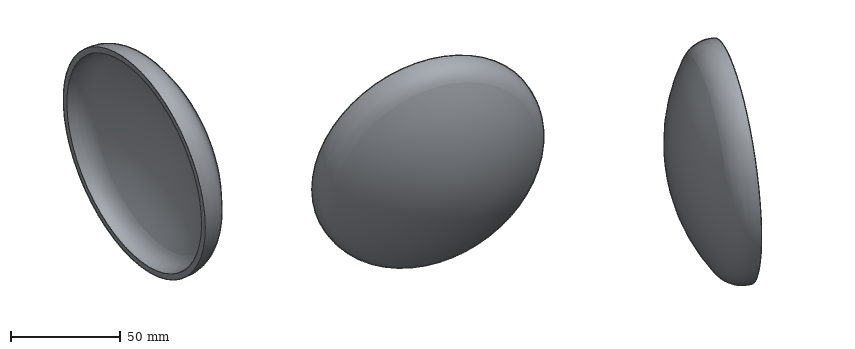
import cadquery as cq
import math

outer_radius = 57.2
height = 30.0
wall = 3.0
rim_length = 2.1
knuckle_radius = 14.1

dish_height = height - rim_length
knuckle_center_x = outer_radius - knuckle_radius
crown_radius = (knuckle_center_x**2 + dish_height**2 - knuckle_radius**2) / (
    2 * (dish_height - knuckle_radius)
)
crown_center_y = height - crown_radius

tangent_angle = math.atan2(knuckle_center_x, rim_length - crown_center_y)


def crown_point(offset, angle):
    """Point on the crown, moved inward by offset, at an angle from the axis."""
    radius = crown_radius - offset
    return (radius * math.sin(angle), crown_center_y + radius * math.cos(angle))


def knuckle_middle(offset):
    """Point halfway along the knuckle, moved inward by offset."""
    radius = knuckle_radius - offset
    angle = (tangent_angle + math.pi / 2) / 2
    return (
        knuckle_center_x + radius * math.sin(angle),
        rim_length + radius * math.cos(angle),
    )


def dished_solid(offset):
    """Solid dish whose surface lies inward of the outside by offset."""
    rim_radius = outer_radius - offset
    profile = (
        cq.Workplane("XY")
        .lineTo(rim_radius, 0)
        .lineTo(rim_radius, rim_length)
        .threePointArc(knuckle_middle(offset), crown_point(offset, tangent_angle))
        .threePointArc(crown_point(offset, tangent_angle / 2), crown_point(offset, 0))
        .close()
    )
    return profile.revolve(360, (0, 0, 0), (0, 1, 0))


result = dished_solid(0).cut(dished_solid(wall))